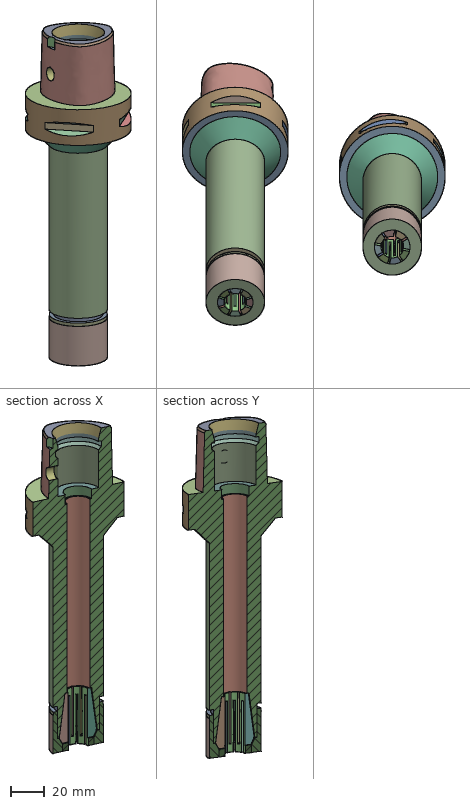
import cadquery as cq
import math

TOTAL_LENGTH = 203.0
TAPER_LENGTH = 38.0
FLANGE_HEIGHT = 22.3
NUT_HEIGHT = 26.8
NECK_GAP = 3.0
FLANGE_TOP = TOTAL_LENGTH - TAPER_LENGTH
FLANGE_BOTTOM = FLANGE_TOP - FLANGE_HEIGHT
SHANK_BOTTOM = NUT_HEIGHT + NECK_GAP

POLYGON_MEAN_RADIUS = 22.1
POLYGON_ECCENTRICITY = 1.58
POLYGON_POINTS = 36
TAPER_SLOPE = 1 / 20 / 2
TAPER_CHAMFER_HEIGHT = 1.5
TAPER_CHAMFER_WIDTH = 0.8

FLANGE_RADIUS = 31.5
SHOULDER_RADIUS = 27.0
SHANK_RADIUS = 17.5
NECK_RADIUS = 14.6
SHOULDER_HEIGHT = SHOULDER_RADIUS - SHANK_RADIUS

GRIP_COUNT = 4
GRIP_FLOOR_DISTANCE = 27.8
GRIP_FLOOR_HEIGHT = 4.0
GRIP_CENTRE_Z = 152.7
GRIP_FLANK_ANGLE = 30.0
GRIP_CUTTER_OVERRUN = 2.0

MOUTH_RADIUS = 15.6
SOCKET_RADIUS = 13.8
MOUTH_DEPTH = 6.3
CLAMP_GROOVE_RADIUS = 15.6
CLAMP_GROOVE_START = 8.5
CLAMP_GROOVE_END = 12.0
SOCKET_DEPTH = TAPER_LENGTH
COUNTERBORE_RADIUS = 9.0
COUNTERBORE_DEPTH = 6.0
SCREW_HOLE_RADIUS = 7.7

NOTCH_RADIUS = 5.0
NOTCH_INNER_Y = -17.7
NOTCH_DEPTH = 6.3
CHIP_HOLE_RADIUS = 4.0
CHIP_HOLE_Z = 180.7
CHIP_HOLE_FLOOR_Y = -14.5

COLLET_HALF_ANGLE = 8.0
COLLET_LARGE_RADIUS = 13.0
COLLET_FRONT_RADIUS = 10.5
COLLET_FRONT_ANGLE = 30.0
COLLET_BORE_RADIUS = 6.7
COLLET_SHOULDER_Z = 9.0
COLLET_TOP = 37.0
COLLET_SMALL_RADIUS = COLLET_LARGE_RADIUS - (COLLET_TOP - COLLET_SHOULDER_Z) * math.tan(
    math.radians(COLLET_HALF_ANGLE)
)
COLLET_FRONT_CONE_HEIGHT = (COLLET_LARGE_RADIUS - COLLET_FRONT_RADIUS) / math.tan(
    math.radians(COLLET_FRONT_ANGLE)
)
COLLET_FRONT_Z = COLLET_SHOULDER_Z - COLLET_FRONT_CONE_HEIGHT
SLOTS_PER_END = 8
SLOT_WIDTH = 1.2
SLOT_BRIDGE = 5.0

NUT_BAND_HEIGHT = 2.0
NUT_BAND_STEP = 0.2
NUT_BAND_RADIUS = SHANK_RADIUS - NUT_BAND_STEP


def turned(points):
    """Solid of revolution about Z from a closed (radius, z) outline."""
    return cq.Workplane("XZ").polyline(points).close().revolve(360, (0, 0), (0, 1))


def polygon_point(mean_radius, angle):
    """Point of the trilobed outline, one lobe on +Y, from its support function h."""
    h = mean_radius - POLYGON_ECCENTRICITY * math.sin(3 * angle)
    slope = -3 * POLYGON_ECCENTRICITY * math.cos(3 * angle)
    x = h * math.cos(angle) - slope * math.sin(angle)
    y = h * math.sin(angle) + slope * math.cos(angle)
    return cq.Vector(x, y, 0)


def polygon_wire(mean_radius, z):
    """Closed trilobed outline at height z, starting on -Y."""
    step = 2 * math.pi / POLYGON_POINTS
    points = [polygon_point(mean_radius, i * step - math.pi / 2) for i in range(POLYGON_POINTS)]
    curve = cq.Edge.makeSpline(points, periodic=True)
    return cq.Wire.assembleEdges([curve]).translate(cq.Vector(0, 0, z))


def taper_section(mean_bottom, z_bottom, mean_top, z_top):
    """Ruled solid between two trilobed outlines."""
    wires = [polygon_wire(mean_bottom, z_bottom), polygon_wire(mean_top, z_top)]
    return cq.Workplane(cq.Solid.makeLoft(wires, True))


def make_taper():
    edge_z = TOTAL_LENGTH - TAPER_CHAMFER_HEIGHT
    edge_radius = POLYGON_MEAN_RADIUS - (edge_z - FLANGE_TOP) * TAPER_SLOPE
    top_radius = edge_radius - TAPER_CHAMFER_WIDTH
    body = taper_section(POLYGON_MEAN_RADIUS, FLANGE_TOP, edge_radius, edge_z)
    chamfer = taper_section(edge_radius, edge_z, top_radius, TOTAL_LENGTH)
    return body.union(chamfer)


def make_holder_outside():
    body = turned(
        [
            (0, COLLET_SHOULDER_Z),
            (NECK_RADIUS, COLLET_SHOULDER_Z),
            (NECK_RADIUS, SHANK_BOTTOM),
            (SHANK_RADIUS, SHANK_BOTTOM),
            (SHANK_RADIUS, FLANGE_BOTTOM - SHOULDER_HEIGHT),
            (SHOULDER_RADIUS, FLANGE_BOTTOM),
            (FLANGE_RADIUS, FLANGE_BOTTOM),
            (FLANGE_RADIUS, FLANGE_TOP),
            (0, FLANGE_TOP),
        ]
    )
    return body.union(make_taper())


def make_holder_cavity():
    """Stepped bore: collet seat, screw hole, counterbore and clamping socket."""
    floor_z = TOTAL_LENGTH - SOCKET_DEPTH
    groove_end_z = TOTAL_LENGTH - CLAMP_GROOVE_END
    groove_start_z = TOTAL_LENGTH - CLAMP_GROOVE_START
    return turned(
        [
            (0, COLLET_SHOULDER_Z),
            (COLLET_LARGE_RADIUS, COLLET_SHOULDER_Z),
            (COLLET_SMALL_RADIUS, COLLET_TOP),
            (SCREW_HOLE_RADIUS, COLLET_TOP),
            (SCREW_HOLE_RADIUS, floor_z - COUNTERBORE_DEPTH),
            (COUNTERBORE_RADIUS, floor_z - COUNTERBORE_DEPTH),
            (COUNTERBORE_RADIUS, floor_z),
            (SOCKET_RADIUS, floor_z),
            (SOCKET_RADIUS, groove_end_z - (CLAMP_GROOVE_RADIUS - SOCKET_RADIUS)),
            (CLAMP_GROOVE_RADIUS, groove_end_z),
            (CLAMP_GROOVE_RADIUS, groove_start_z),
            (SOCKET_RADIUS, groove_start_z),
            (SOCKET_RADIUS, TOTAL_LENGTH - MOUTH_DEPTH),
            (MOUTH_RADIUS, TOTAL_LENGTH),
            (0, TOTAL_LENGTH),
        ]
    )


def make_grip_cutter(angle):
    """Trapezoidal groove running tangentially across the rim."""
    reach = FLANGE_RADIUS + GRIP_CUTTER_OVERRUN - GRIP_FLOOR_DISTANCE
    inner = GRIP_FLOOR_HEIGHT / 2
    outer = inner + reach * math.tan(math.radians(GRIP_FLANK_ANGLE))
    outline = [
        (GRIP_FLOOR_DISTANCE, GRIP_CENTRE_Z - inner),
        (GRIP_FLOOR_DISTANCE + reach, GRIP_CENTRE_Z - outer),
        (GRIP_FLOOR_DISTANCE + reach, GRIP_CENTRE_Z + outer),
        (GRIP_FLOOR_DISTANCE, GRIP_CENTRE_Z + inner),
    ]
    bar = cq.Workplane("XZ").polyline(outline).close().extrude(FLANGE_RADIUS, both=True)
    return bar.rotate((0, 0, 0), (0, 0, 1), angle)


def make_notch_cutter():
    centre_y = NOTCH_INNER_Y - NOTCH_RADIUS
    start = cq.Workplane("XY", origin=(0, centre_y, TOTAL_LENGTH - NOTCH_DEPTH))
    return start.circle(NOTCH_RADIUS).extrude(NOTCH_DEPTH)


def make_chip_hole_cutter():
    start = cq.Workplane("XZ", origin=(0, CHIP_HOLE_FLOOR_Y, CHIP_HOLE_Z))
    return start.circle(CHIP_HOLE_RADIUS).extrude(POLYGON_MEAN_RADIUS)


def make_holder():
    """Toolholder with shank, gripper flange and trilobed taper."""
    holder = make_holder_outside().cut(make_holder_cavity())
    for i in range(GRIP_COUNT):
        holder = holder.cut(make_grip_cutter((i + 0.5) * 360 / GRIP_COUNT))
    return holder.cut(make_notch_cutter()).cut(make_chip_hole_cutter())


def make_nut():
    """Clamping nut around the neck and the front of the collet."""
    return turned(
        [
            (COLLET_FRONT_RADIUS, 0),
            (SHANK_RADIUS, 0),
            (SHANK_RADIUS, NUT_HEIGHT - NUT_BAND_HEIGHT),
            (NUT_BAND_RADIUS, NUT_HEIGHT - NUT_BAND_HEIGHT),
            (NUT_BAND_RADIUS, NUT_HEIGHT),
            (NECK_RADIUS, NUT_HEIGHT),
            (NECK_RADIUS, COLLET_SHOULDER_Z),
            (COLLET_LARGE_RADIUS, COLLET_SHOULDER_Z),
            (COLLET_FRONT_RADIUS, COLLET_FRONT_Z),
        ]
    )


def make_slot_cutter(angle, z_bottom):
    """Slot across the whole collet, short of its full length by one bridge."""
    start = cq.Workplane("XY", origin=(0, 0, z_bottom))
    slot = start.rect(2 * COLLET_LARGE_RADIUS, SLOT_WIDTH).extrude(COLLET_TOP - SLOT_BRIDGE)
    return slot.rotate((0, 0, 0), (0, 0, 1), angle)


def make_collet():
    """Spring collet slotted alternately from both ends."""
    collet = turned(
        [
            (COLLET_BORE_RADIUS, 0),
            (COLLET_FRONT_RADIUS, 0),
            (COLLET_FRONT_RADIUS, COLLET_FRONT_Z),
            (COLLET_LARGE_RADIUS, COLLET_SHOULDER_Z),
            (COLLET_SMALL_RADIUS, COLLET_TOP),
            (COLLET_BORE_RADIUS, COLLET_TOP),
        ]
    )
    pitch = 360 / SLOTS_PER_END
    for i in range(SLOTS_PER_END // 2):
        collet = collet.cut(make_slot_cutter(i * pitch, SLOT_BRIDGE))
        collet = collet.cut(make_slot_cutter((i + 0.5) * pitch, 0))
    return collet


holder = make_holder()
nut = make_nut()
collet = make_collet()

result = cq.Compound.makeCompound([holder.val(), nut.val(), collet.val()])